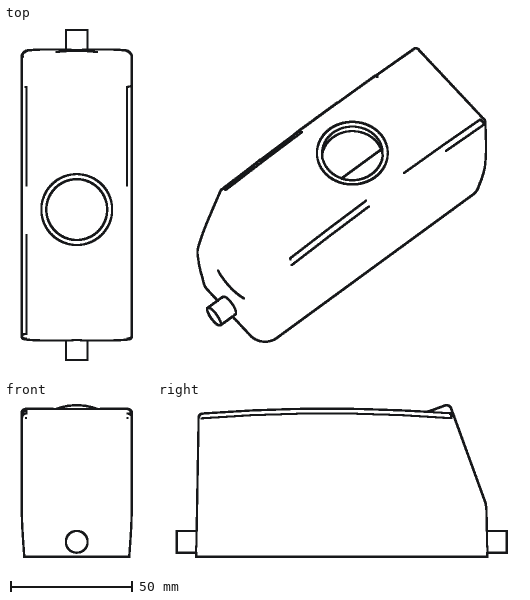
import cadquery as cq
import math

WIDTH = 45.5
BASE_LENGTH = 120.0
END_DRAFT = math.radians(1.0)
WAIST_Z = 7.0
SHOULDER_Z = 23.4
SKIRT_TAPER = math.radians(4.1)

CROWN_Y = -6.0
CROWN_Z = 61.1
CROWN_RADIUS = 660.0
ROOF_FILLET = 2.0

SLOPE_ANGLE = math.radians(20.0)
SLOPE_FOOT_Z = 21.2
SLOPE_BLEND_Z = 18.9

CORNER_RADIUS_BASE = 7.6
CORNER_RADIUS_WAIST = 5.3
CORNER_RADIUS_SHOULDER = 2.1
CORNER_RADIUS_ROOF = 1.2

LIP_RADIUS = 22.0
LIP_PEAK_Z = 63.1
LIP_DEPTH = 13.0
LIP_ROOT_FILLET = 2.5

ENTRY_Y = CROWN_Y
ENTRY_DIAMETER = 25.0
ENTRY_SEAT_DIAMETER = 29.2
ENTRY_SEAT_DEPTH = 0.4

WALL = 3.0
ENTRY_WALL = 4.0

PIN_DIAMETER = 9.0
PIN_SPAN = 136.0
PIN_Z = 6.2

HALF_WIDTH = WIDTH / 2
HALF_LENGTH = BASE_LENGTH / 2
BLANK_TOP_Z = CROWN_Z + 5.0
SEAT_Z = CROWN_Z - ENTRY_SEAT_DEPTH
CAVITY_TOP_Z = SEAT_Z - ENTRY_WALL
CAVITY_CORNER_RADIUS = CORNER_RADIUS_BASE - WALL
SHOULDER_ARC_RADIUS = (SHOULDER_Z - WAIST_Z) / math.sin(SKIRT_TAPER)


def end_y(z):
    """Distance of the drafted end faces from the mid plane at height z."""
    return HALF_LENGTH - z * math.tan(END_DRAFT)


def slope_y(z):
    """Position of the sloping rear face at height z."""
    return end_y(SLOPE_FOOT_Z) - (z - SLOPE_FOOT_Z) * math.tan(SLOPE_ANGLE)


def shoulder_arc_point(angle):
    """Point (x, z) on the shoulder arc, where the side leans inwards by angle."""
    x = HALF_WIDTH - SHOULDER_ARC_RADIUS * (1 - math.cos(angle))
    z = SHOULDER_Z - SHOULDER_ARC_RADIUS * math.sin(angle)
    return x, z


SKIRT_TOP_X = shoulder_arc_point(SKIRT_TAPER)[0]
SKIRT_BASE_X = SKIRT_TOP_X - WAIST_Z * math.tan(SKIRT_TAPER)


def lengthwise_blank():
    """Side outline with drafted ends and the sloping rear, extruded along X."""
    return (
        cq.Workplane("YZ")
        .moveTo(-HALF_LENGTH, 0)
        .lineTo(HALF_LENGTH, 0)
        .lineTo(end_y(SLOPE_BLEND_Z), SLOPE_BLEND_Z)
        .tangentArcPoint((slope_y(SHOULDER_Z), SHOULDER_Z), relative=False)
        .lineTo(slope_y(BLANK_TOP_Z), BLANK_TOP_Z)
        .lineTo(-end_y(BLANK_TOP_Z), BLANK_TOP_Z)
        .close()
        .extrude(WIDTH, both=True)
    )


def crosswise_blank():
    """Cross-section with tapered skirt and curved shoulders, extruded along Y."""
    arc_mid_x, arc_mid_z = shoulder_arc_point(SKIRT_TAPER / 2)
    return (
        cq.Workplane("XZ")
        .moveTo(-SKIRT_BASE_X, 0)
        .lineTo(SKIRT_BASE_X, 0)
        .lineTo(SKIRT_TOP_X, WAIST_Z)
        .threePointArc((arc_mid_x, arc_mid_z), (HALF_WIDTH, SHOULDER_Z))
        .lineTo(HALF_WIDTH, BLANK_TOP_Z)
        .lineTo(-HALF_WIDTH, BLANK_TOP_Z)
        .lineTo(-HALF_WIDTH, SHOULDER_Z)
        .threePointArc((-arc_mid_x, arc_mid_z), (-SKIRT_TOP_X, WAIST_Z))
        .close()
        .extrude(BASE_LENGTH, both=True)
    )


def crown():
    """Large cylinder along X whose upper side is the crowned roof."""
    return (
        cq.Workplane("YZ")
        .center(CROWN_Y, CROWN_Z - CROWN_RADIUS)
        .circle(CROWN_RADIUS)
        .extrude(WIDTH, both=True)
    )


def lip():
    """Cylinder square to the sloping face, standing proud of the roof at the rear."""
    up_slope = cq.Vector(0, -math.sin(SLOPE_ANGLE), math.cos(SLOPE_ANGLE))
    outward = cq.Vector(0, math.cos(SLOPE_ANGLE), math.sin(SLOPE_ANGLE))
    peak = cq.Vector(0, slope_y(LIP_PEAK_Z), LIP_PEAK_Z)
    face = cq.Plane(origin=peak - up_slope * LIP_RADIUS, xDir=(1, 0, 0), normal=outward)
    return cq.Workplane(face).circle(LIP_RADIUS).extrude(-LIP_DEPTH)


def corner_radius(z):
    """Radius of the vertical corners at a height where body edges end."""
    stations = (
        (0, CORNER_RADIUS_BASE),
        (WAIST_Z, CORNER_RADIUS_WAIST),
        (SHOULDER_Z, CORNER_RADIUS_SHOULDER),
        (CROWN_Z, CORNER_RADIUS_ROOF),
    )
    for (low_z, low_radius), (high_z, high_radius) in zip(stations, stations[1:]):
        if z <= high_z:
            share = (z - low_z) / (high_z - low_z)
            return low_radius + (high_radius - low_radius) * share
    return CORNER_RADIUS_ROOF


def is_corner(edge):
    """True for the edges where a side meets an end face."""
    start = edge.startPoint()
    end = edge.endPoint()
    return abs(start.z - end.z) > 1 and abs(start.x - end.x) < 1


def round_edges(body):
    """Round the corners, the roof rim and the lip in one go, so they blend together."""
    solid = body.solids().val()
    builder = cq.occ_impl.shapes.BRepFilletAPI_MakeFillet(solid.wrapped)
    for edge in solid.Edges():
        if is_corner(edge):
            if builder.Contour(edge.wrapped) == 0:
                builder.Add(edge.wrapped)
            contour = builder.Contour(edge.wrapped)
            for vertex in edge.Vertices():
                builder.SetRadius(corner_radius(vertex.Z), contour, vertex.wrapped)
        elif edge.Center().z > CAVITY_TOP_Z:
            on_rim = edge.geomType() in ("LINE", "CIRCLE")
            radius = ROOF_FILLET if on_rim else LIP_ROOT_FILLET
            builder.Add(radius, edge.wrapped)
    return cq.Workplane(cq.Shape.cast(builder.Shape()))


def cavity():
    """Hollow with straight sides and a rear wall parallel to the slope."""
    half_width = SKIRT_BASE_X - WALL
    front_y = -(end_y(CAVITY_TOP_Z) - WALL)
    rear_y = end_y(SLOPE_FOOT_Z) - WALL
    slope_inset = WALL / math.cos(SLOPE_ANGLE)
    return (
        cq.Workplane("YZ")
        .moveTo(front_y, 0)
        .lineTo(rear_y, 0)
        .lineTo(rear_y, SLOPE_FOOT_Z)
        .lineTo(slope_y(CAVITY_TOP_Z) - slope_inset, CAVITY_TOP_Z)
        .lineTo(front_y, CAVITY_TOP_Z)
        .close()
        .extrude(half_width, both=True)
        .edges("|Z")
        .fillet(CAVITY_CORNER_RADIUS)
    )


def cable_entry():
    """Through hole in the roof with a shallow flat seat around it."""
    hole = cq.Workplane("XY").center(0, ENTRY_Y).circle(ENTRY_DIAMETER / 2).extrude(BLANK_TOP_Z)
    seat = (
        cq.Workplane("XY", origin=(0, ENTRY_Y, SEAT_Z))
        .circle(ENTRY_SEAT_DIAMETER / 2)
        .extrude(BLANK_TOP_Z - SEAT_Z)
    )
    return hole.union(seat)


def locking_pin(side):
    """Pin on the front (side = -1) or rear (side = 1) end, rooted inside the wall."""
    root_y = end_y(PIN_Z) - WALL / 2
    face = cq.Plane(origin=(0, side * root_y, PIN_Z), xDir=(1, 0, 0), normal=(0, side, 0))
    return cq.Workplane(face).circle(PIN_DIAMETER / 2).extrude(PIN_SPAN / 2 - root_y)


hood = lengthwise_blank().intersect(crosswise_blank()).intersect(crown())
hood = round_edges(hood.union(lip()))
hood = hood.cut(cavity()).cut(cable_entry())
for pin_side in (-1, 1):
    hood = hood.union(locking_pin(pin_side))
result = cq.Workplane(hood.solids().val())